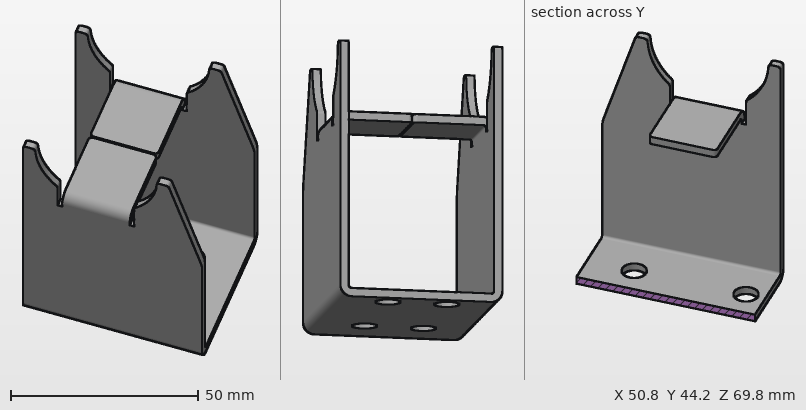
import cadquery as cq
import math

length = 50.8
width = 44.15
height = 69.85

thickness = 2.3
bend_inner = 0.8
bend_outer = bend_inner + thickness

cradle_x = 20.7
cradle_radius = 17.2
opening_width = 21.65
finger_tip_radius = 1.05

slope_top_x = 41.2
slope_bottom_z = 39.7
slope_blend_radius = 9.8

tab_width = 19.15
tab_top_z = 52.8
tab_gap = 0.4
tab_corner_radius = 1.0
relief_bottom_z = 48.75

hole_diameter = 6.7
hole_first_x = 5.5
hole_pitch_x = 31.8
hole_pitch_y = 16.0

opening_left = cradle_x - opening_width / 2
opening_right = cradle_x + opening_width / 2
tab_left = cradle_x - tab_width / 2
tab_right = cradle_x + tab_width / 2
bend_start_z = tab_top_z - bend_outer
lip_z = height - math.sqrt(cradle_radius**2 - (opening_width / 2) ** 2)


def make_channel():
    """U-shaped channel: base and two side walls joined by round bends."""
    outer = (
        cq.Workplane("XY")
        .box(length, width, height, centered=(False, True, False))
        .edges("|X and <Z")
        .fillet(bend_outer)
    )
    inner = (
        cq.Workplane("XY", origin=(0, 0, thickness))
        .box(length, width - 2 * thickness, height, centered=(False, True, False))
        .edges("|X and <Z")
        .fillet(bend_inner)
    )
    return outer.cut(inner)


def make_side_outline():
    """Side-wall outline in XZ, extruded across the whole width."""
    arc_middle_x = cradle_radius * math.cos(math.pi / 8)
    arc_middle_z = height - cradle_radius * math.sin(math.pi / 8)
    outline = (
        cq.Workplane("XZ")
        .lineTo(length, 0)
        .lineTo(length, slope_bottom_z)
        .lineTo(slope_top_x, height)
        .lineTo(cradle_x + cradle_radius, height)
        .threePointArc((cradle_x + arc_middle_x, arc_middle_z), (opening_right, lip_z))
        .lineTo(opening_right, relief_bottom_z)
        .lineTo(tab_right, relief_bottom_z)
        .lineTo(tab_right, bend_start_z)
        .lineTo(tab_left, bend_start_z)
        .lineTo(tab_left, relief_bottom_z)
        .lineTo(opening_left, relief_bottom_z)
        .lineTo(opening_left, lip_z)
        .threePointArc((cradle_x - arc_middle_x, arc_middle_z), (cradle_x - cradle_radius, height))
        .lineTo(0, height)
        .close()
        .extrude(width / 2, both=True)
    )
    lip_corners = cq.selectors.BoxSelector(
        (opening_left - 0.7, -width, lip_z - 0.7),
        (opening_right + 0.7, width, lip_z + 0.7),
    )
    slope_corner = cq.selectors.BoxSelector(
        (length - 0.7, -width, slope_bottom_z - 0.7),
        (length + 0.7, width, slope_bottom_z + 0.7),
    )
    outline = outline.faces(">Z").edges("|Y").fillet(finger_tip_radius)
    outline = outline.edges(lip_corners).edges("|Y").fillet(finger_tip_radius)
    return outline.edges(slope_corner).edges("|Y").fillet(slope_blend_radius)


def make_tab():
    """Tab folded in from the +Y wall, with its bend and rounded free corners."""
    wall_y = width / 2
    bend_y = wall_y - bend_outer
    free_y = tab_gap / 2
    diagonal = math.sqrt(0.5)
    tab = (
        cq.Workplane("YZ", origin=(tab_left, 0, 0))
        .moveTo(wall_y, bend_start_z)
        .threePointArc(
            (bend_y + bend_outer * diagonal, bend_start_z + bend_outer * diagonal),
            (bend_y, tab_top_z),
        )
        .lineTo(free_y, tab_top_z)
        .lineTo(free_y, tab_top_z - thickness)
        .lineTo(bend_y, tab_top_z - thickness)
        .threePointArc(
            (bend_y + bend_inner * diagonal, bend_start_z + bend_inner * diagonal),
            (wall_y - thickness, bend_start_z),
        )
        .close()
        .extrude(tab_width)
    )
    return tab.faces("<Y").edges("|Z").fillet(tab_corner_radius)


def make_holes():
    """Four cylinders that pierce the base."""
    centers = [
        (hole_first_x + column * hole_pitch_x, side * hole_pitch_y / 2)
        for column in (0, 1)
        for side in (-1, 1)
    ]
    return cq.Workplane("XY").pushPoints(centers).circle(hole_diameter / 2).extrude(thickness)


tab = make_tab()
bracket = make_channel().intersect(make_side_outline())
bracket = bracket.union(tab).union(tab.mirror("XZ"))
result = bracket.cut(make_holes())